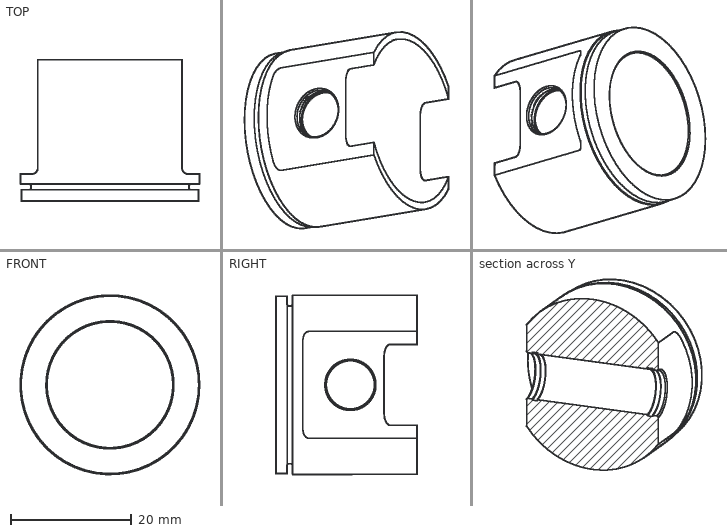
import cadquery as cq
import math

length = 23.5
skirt_radius = 29.85 / 2

land_radius = 29.5 / 2
groove_start = 1.9
groove_end = 2.75
groove_radius = 13.15
groove_corner_radius = 0.2
groove_lip_chamfer = 0.1

dish_radius = 10.45
dish_depth = 1.75
dish_edge_size = 0.2

flat_distance = 12.0
flat_start = 4.5
flat_root_radius = 1.0

window_half_width = 6.7
counterbore_radius = math.hypot(flat_distance, window_half_width)
counterbore_depth = 5.5
counterbore_corner_radius = 1.0

pin_position = 12.4
pin_radius = 4.0
pin_chamfer = 0.25
clip_groove_radius = 4.2
clip_groove_inset = 1.1
clip_groove_width = 0.9


def disc(radius, start, end):
    """Cylinder about the Y axis spanning start..end along Y."""
    return cq.Workplane("XZ", origin=(0, start, 0)).circle(radius).extrude(start - end)


def make_body():
    """Skirt, ring groove and crown land as one revolved body."""
    skirt = disc(skirt_radius, groove_end, length).faces("<Y").edges().chamfer(groove_lip_chamfer)
    land = disc(land_radius, 0, groove_start)
    groove_root = disc(groove_radius, groove_start, groove_end)
    body = skirt.union(groove_root).union(land)
    root_corners = cq.selectors.RadiusNthSelector(0)
    return body.edges("%CIRCLE").edges(root_corners).fillet(groove_corner_radius)


def make_dish():
    """Cutter for the crown dish: rounded floor corner and chamfered rim."""
    dish = disc(dish_radius, 0, dish_depth).faces(">Y").edges().fillet(dish_edge_size)
    rim = cq.Solid.makeCone(
        dish_radius + dish_edge_size,
        dish_radius,
        dish_edge_size,
        dir=cq.Vector(0, 1, 0),
    )
    return dish.union(cq.Workplane(rim))


def make_flat(side):
    """Cutter for the flat on one side (+1 or -1) with a rounded root along Z."""
    block = cq.Workplane("XY").box(
        skirt_radius,
        length,
        2 * skirt_radius,
        centered=(False, False, True),
    )
    block = block.translate((flat_distance, flat_start, 0))
    block = block.edges("<X and <Y").fillet(flat_root_radius)
    return block if side > 0 else block.mirror("YZ")


def make_counterbore():
    """Cutter for the counterbore in the open end."""
    bore = disc(counterbore_radius, length - counterbore_depth, length)
    return bore.faces("<Y").edges().fillet(counterbore_corner_radius)


def pin_disc(radius, start, end):
    """Cylinder about the pin axis spanning start..end along X."""
    return cq.Workplane("YZ", origin=(start, pin_position, 0)).circle(radius).extrude(end - start)


def make_pin_bore():
    """Cutter for the through pin bore, its mouth chamfers and retaining-ring grooves."""
    cutter = pin_disc(pin_radius, -flat_distance, flat_distance)
    groove_outer = flat_distance - clip_groove_inset
    groove_inner = groove_outer - clip_groove_width
    for side in (-1, 1):
        mouth = cq.Solid.makeCone(
            pin_radius + pin_chamfer,
            pin_radius,
            pin_chamfer,
            pnt=cq.Vector(side * flat_distance, pin_position, 0),
            dir=cq.Vector(-side, 0, 0),
        )
        cutter = cutter.union(cq.Workplane(mouth))
        cutter = cutter.union(pin_disc(clip_groove_radius, side * groove_inner, side * groove_outer))
    return cutter


result = make_body().cut(make_dish())
for flat_side in (-1, 1):
    result = result.cut(make_flat(flat_side))
result = result.cut(make_counterbore()).cut(make_pin_bore())